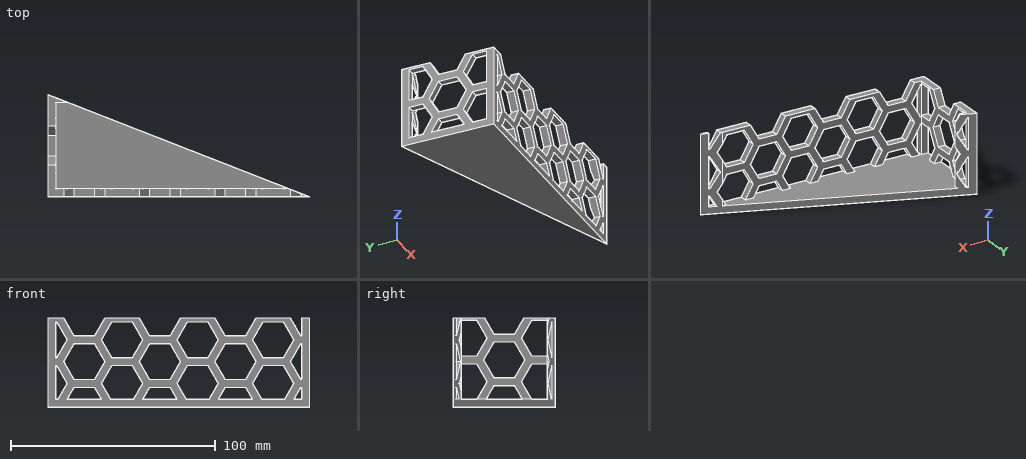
import cadquery as cq
import math

length = 128.0
depth = 50.0
height = 43.65

wall = 4.0
floor_thickness = 4.0

hex_radius = 10.0
web = 4.0
cell_height = hex_radius * math.sqrt(3) + web
column_pitch = cell_height * math.sqrt(3) / 2
long_wall_columns = 8
end_wall_columns = 3

long_wall_row_z = height - cell_height
end_wall_row_z = 23.15


def hexagon_cutters(workplane, centers):
    """Hexagonal bars through a wall, one at each center."""
    return workplane.pushPoints(centers).polygon(6, 2 * hex_radius).extrude(wall)


def honeycomb_centers(first_column, column_count, row_z):
    """Centers of a staggered grid; odd columns have a hexagon at row_z, even ones sit half a cell off."""
    centers = []
    for column in range(column_count):
        across = first_column + column * column_pitch
        stagger = 0 if column % 2 else cell_height / 2
        for row in (-1, 0, 1):
            centers.append((across, row_z + row * cell_height + stagger))
    return centers


def tall_block(size_x, size_y):
    """Block as tall as the tray, so that raising it opens its top side."""
    return cq.Workplane("XY").box(size_x, size_y, height, centered=False)


def long_wall_openings(inner_y):
    """Honeycomb openings of a wall along X that ends at inner_y."""
    first_column = length / 2 - (long_wall_columns - 1) / 2 * column_pitch
    centers = honeycomb_centers(first_column, long_wall_columns, long_wall_row_z)
    cutters = hexagon_cutters(cq.Workplane("XZ", origin=(0, inner_y, 0)), centers)
    window = tall_block(length - 2 * wall, depth).translate((wall, 0, wall))
    return cutters.intersect(window)


def end_wall_openings():
    """Honeycomb openings of the wall along Y at X = 0, centered on its middle."""
    first_column = depth / 2 - (end_wall_columns - 1) / 2 * column_pitch
    centers = honeycomb_centers(first_column, end_wall_columns, end_wall_row_z)
    cutters = hexagon_cutters(cq.Workplane("YZ"), centers)
    window = tall_block(wall, depth - 2 * wall).translate((0, wall, wall))
    return cutters.intersect(window)


def triangular_prism():
    """Footprint of the tray: right angle at the origin."""
    return cq.Workplane("XY").polyline([(0, 0), (length, 0), (0, depth)]).close().extrude(height)


body = cq.Workplane("XY").box(length, depth, height, centered=False)
cavity = tall_block(length - wall, depth - 2 * wall).translate((wall, wall, floor_thickness))
body = body.cut(cavity)
body = body.cut(long_wall_openings(wall))
body = body.cut(long_wall_openings(depth))
body = body.cut(end_wall_openings())

result = body.intersect(triangular_prism())